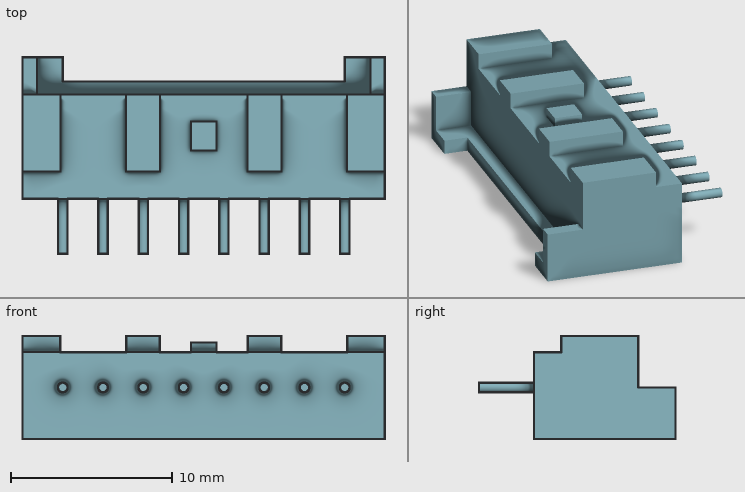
import cadquery as cq

LENGTH = 22.5
BODY_DEPTH = 6.5
BODY_HEIGHT = 5.4

CHEEK_REACH = 2.3
CHEEK_HEIGHT = 3.2
CHEEK_THICKNESS = 0.9
FLOOR_REACH = 0.8
FLOOR_THICKNESS = 0.9
FLOOR_EAR_WIDTH = 2.5

RIB_HEIGHT = 1.0
RIB_LENGTH = 4.8
END_RIB_WIDTH = 2.35
INNER_RIB_WIDTH = 2.1
INNER_RIB_OFFSET = 3.775

PAD_WIDTH = 1.6
PAD_DEPTH = 1.8
PAD_HEIGHT = 0.6
PAD_START = 3.0

PIN_COUNT = 8
PIN_PITCH = 2.5
PIN_DIAMETER = 0.6
PIN_LENGTH = 3.4
PIN_Z = 3.2


def block(x_center, y_start, z_start, width, depth, height):
    """Box centred in X, growing toward +Y and +Z from its start corner."""
    return cq.Workplane("XY").box(width, depth, height, centered=(True, False, False)).translate(
        (x_center, y_start, z_start)
    )


def make_body():
    return block(0, 0, 0, LENGTH, BODY_DEPTH, BODY_HEIGHT)


def make_shelf():
    shelf = block(0, BODY_DEPTH, 0, LENGTH, FLOOR_REACH, FLOOR_THICKNESS)
    for side in (-1, 1):
        ear_x = side * (LENGTH - FLOOR_EAR_WIDTH) / 2
        cheek_x = side * (LENGTH - CHEEK_THICKNESS) / 2
        shelf = shelf.union(block(ear_x, BODY_DEPTH, 0, FLOOR_EAR_WIDTH, CHEEK_REACH, FLOOR_THICKNESS))
        shelf = shelf.union(block(cheek_x, BODY_DEPTH, 0, CHEEK_THICKNESS, CHEEK_REACH, CHEEK_HEIGHT))
    return shelf


def add_top_ribs(part):
    rib_start = BODY_DEPTH - RIB_LENGTH
    end_rib_x = (LENGTH - END_RIB_WIDTH) / 2
    for side in (-1, 1):
        for rib_x, width in ((end_rib_x, END_RIB_WIDTH), (INNER_RIB_OFFSET, INNER_RIB_WIDTH)):
            part = part.union(block(side * rib_x, rib_start, BODY_HEIGHT, width, RIB_LENGTH, RIB_HEIGHT))
    return part


def add_pad(part):
    return part.union(block(0, PAD_START, BODY_HEIGHT, PAD_WIDTH, PAD_DEPTH, PAD_HEIGHT))


def add_pins(part):
    first_pin_x = -(PIN_COUNT - 1) * PIN_PITCH / 2
    pins = (
        cq.Workplane("XZ")
        .pushPoints([(first_pin_x + i * PIN_PITCH, PIN_Z) for i in range(PIN_COUNT)])
        .circle(PIN_DIAMETER / 2)
        .extrude(PIN_LENGTH)
    )
    return part.union(pins)


housing = make_body().union(make_shelf())
housing = add_top_ribs(housing)
housing = add_pad(housing)
result = add_pins(housing)